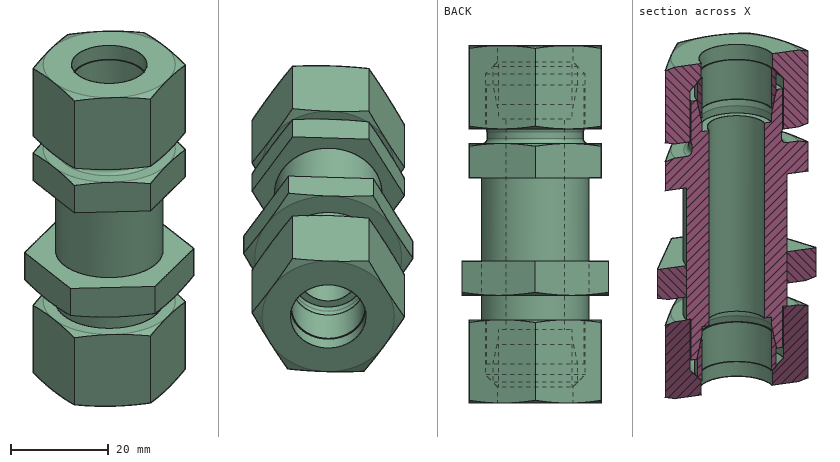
import cadquery as cq
import math

TOTAL_LENGTH = 73.0

NUT_FLATS = 27.0
LOCKNUT_FLATS = 30.0
CORNER_CHAMFER_ANGLE = 15.0

NUT_LENGTH = 17.0
NECK_GAP = 3.0
HEX_LENGTH = 7.0
LOCKNUT_GAP = 5.0

BARREL_DIAMETER = 22.0
END_DIAMETER = 20.0
RELIEF_DIAMETER = 19.7
NECK_RADIUS = 1.0
RELIEF_DROP = 0.65
RELIEF_CONE_ANGLE = 15.0
BODY_END_DEPTH = 8.0
BORE_DIAMETER = 12.0
TUBE_DIAMETER = 15.0
CONE_MOUTH_DIAMETER = 17.3
CONE_HALF_ANGLE = 12.0
SOCKET_DEPTH = 7.0

NUT_HOLE_DIAMETER = 15.4
NUT_BORE_DIAMETER = 20.38
RING_TOP_DEPTH = 3.3
RING_TIP_DEPTH = 4.0

upper_nut_base = TOTAL_LENGTH - NUT_LENGTH
hex_top = upper_nut_base - NECK_GAP
hex_base = hex_top - HEX_LENGTH
locknut_base = NUT_LENGTH + LOCKNUT_GAP
body_top = TOTAL_LENGTH - BODY_END_DEPTH
body_base = BODY_END_DEPTH


def revolve_profile(points):
    """Solid of revolution about Z from (radius, height) points."""
    return cq.Workplane("XZ").polyline(points).close().revolve(360, (0, 0), (0, 1))


def cylinder(diameter, base, top):
    return cq.Workplane("XY").workplane(offset=base).circle(diameter / 2).extrude(top - base)


def hexagon(flats, base, length, chamfer_base, chamfer_top):
    """Hexagonal prism whose corners are turned down conically at the chosen ends."""
    flat_radius = flats / 2
    corner_radius = flat_radius / math.cos(math.radians(30))
    drop = (corner_radius - flat_radius) * math.tan(math.radians(CORNER_CHAMFER_ANGLE))
    top = base + length
    prism = (
        cq.Workplane("XY").workplane(offset=base)
        .polygon(6, 2 * corner_radius).extrude(length)
        .rotate((0, 0, 0), (0, 0, 1), 30)
    )
    if chamfer_base:
        lower_cone = [(0, base), (flat_radius, base), (corner_radius, base + drop),
                      (corner_radius, top), (0, top)]
        prism = prism.intersect(revolve_profile(lower_cone))
    if chamfer_top:
        upper_cone = [(0, base), (corner_radius, base), (corner_radius, top - drop),
                      (flat_radius, top), (0, top)]
        prism = prism.intersect(revolve_profile(upper_cone))
    return prism


def at_upper_end(part):
    """Turn a part made for the lower end over, onto the upper end."""
    middle = TOTAL_LENGTH / 2
    return part.rotate((0, 0, middle), (1, 0, middle), 180)


def make_neck():
    """Relieved neck between the upper nut and the body hexagon, with a concave foot."""
    relief_radius = RELIEF_DIAMETER / 2
    end_radius = END_DIAMETER / 2
    relief_top = upper_nut_base - RELIEF_DROP
    cone_length = (end_radius - relief_radius) / math.tan(math.radians(RELIEF_CONE_ANGLE))
    return (
        cq.Workplane("XZ")
        .moveTo(0, hex_top)
        .lineTo(relief_radius + NECK_RADIUS, hex_top)
        .radiusArc((relief_radius, hex_top + NECK_RADIUS), NECK_RADIUS)
        .lineTo(relief_radius, relief_top)
        .lineTo(end_radius, relief_top + cone_length)
        .lineTo(end_radius, body_top)
        .lineTo(0, body_top)
        .close()
        .revolve(360, (0, 0), (0, 1))
    )


def make_socket():
    """Tube socket with its conical mouth, at the lower body end."""
    tube_radius = TUBE_DIAMETER / 2
    mouth_radius = CONE_MOUTH_DIAMETER / 2
    cone_length = (mouth_radius - tube_radius) / math.tan(math.radians(CONE_HALF_ANGLE))
    return revolve_profile([
        (0, body_base),
        (mouth_radius, body_base),
        (tube_radius, body_base + cone_length),
        (tube_radius, body_base + SOCKET_DEPTH),
        (0, body_base + SOCKET_DEPTH),
    ])


def make_body():
    socket = make_socket()
    return (
        cylinder(END_DIAMETER, body_base, NUT_LENGTH)
        .union(cylinder(BARREL_DIAMETER, NUT_LENGTH, hex_base))
        .union(hexagon(NUT_FLATS, hex_base, HEX_LENGTH, False, True))
        .union(make_neck())
        .cut(cylinder(BORE_DIAMETER, body_base, body_top))
        .cut(socket)
        .cut(at_upper_end(socket))
    )


def make_locknut():
    """Hexagonal locknut on the barrel."""
    blank = hexagon(LOCKNUT_FLATS, locknut_base, HEX_LENGTH, True, False)
    return blank.cut(cylinder(BARREL_DIAMETER, locknut_base, locknut_base + HEX_LENGTH))


def make_nut():
    """Union nut at the lower end, with a 45 degree seat for the cutting ring."""
    hole_radius = NUT_HOLE_DIAMETER / 2
    bore_radius = NUT_BORE_DIAMETER / 2
    seat_end = RING_TOP_DEPTH + bore_radius - hole_radius
    opening = revolve_profile([
        (0, 0),
        (hole_radius, 0),
        (hole_radius, RING_TOP_DEPTH),
        (bore_radius, seat_end),
        (bore_radius, NUT_LENGTH),
        (0, NUT_LENGTH),
    ])
    return hexagon(NUT_FLATS, 0, NUT_LENGTH, True, True).cut(opening)


def make_cutting_ring():
    """Cutting ring at the lower end, between the nut seat and the body cone."""
    bore_radius = TUBE_DIAMETER / 2
    face_radius = NUT_HOLE_DIAMETER / 2
    collar_radius = CONE_MOUTH_DIAMETER / 2
    tip_radius = collar_radius - RING_TIP_DEPTH * math.tan(math.radians(CONE_HALF_ANGLE))
    tip_level = body_base + RING_TIP_DEPTH
    return revolve_profile([
        (bore_radius, RING_TOP_DEPTH),
        (face_radius, RING_TOP_DEPTH),
        (collar_radius, RING_TOP_DEPTH + collar_radius - face_radius),
        (collar_radius, body_base),
        (tip_radius, tip_level),
        (bore_radius, tip_level),
    ])


body = make_body()
locknut = make_locknut()
solids = [body.solids().val(), locknut.solids().val()]
for make_end_part in (make_nut, make_cutting_ring):
    lower_part = make_end_part()
    upper_part = at_upper_end(lower_part)
    solids += [lower_part.solids().val(), upper_part.solids().val()]

result = cq.Compound.makeCompound(solids)